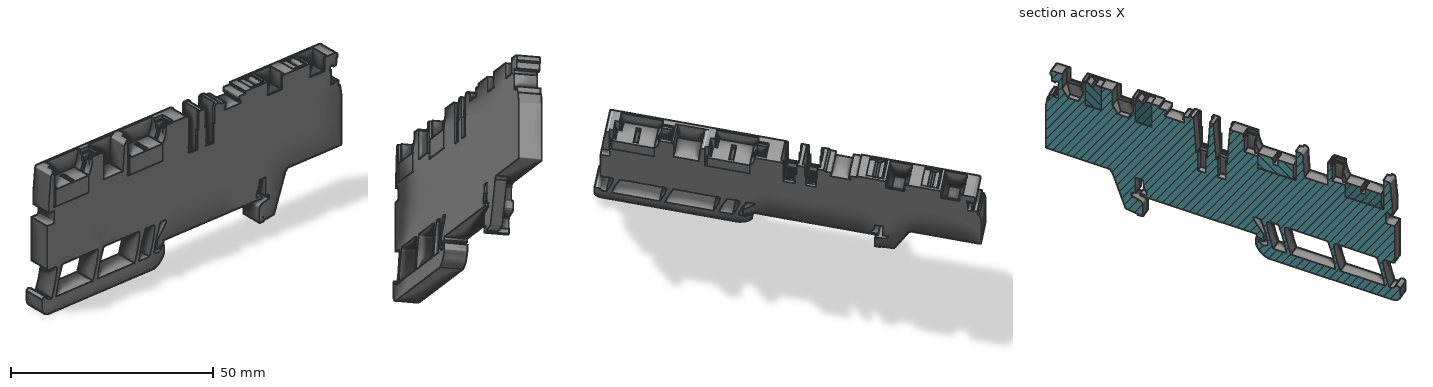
import cadquery as cq
import math


WIDTH = 6.0
LENGTH = 97.4
HEIGHT = 39.4
SIDE = WIDTH / 2
END = LENGTH / 2
TOP = HEIGHT / 2
BOTTOM = -HEIGHT / 2
BELLY = -7.2
FOOT_TOP = -15.7

LEG_CENTRES = [-11.3, -16.2, -29.7, -43.1]
LEG_HALF_TOP = 0.8
LEG_ROOT_RADIUS = 0.7
LEG_WAIST_Z = -11.5
LEG_WAIST = (-0.3, -1.4)
LEG_TOE = (-1.1, -2.5)

SLOT_FLOOR = 9.0
SLOT_STEP = 14.4
SLOT_CENTRES = [5.8, 0.4]
SLOT_MOUTH = 4.4
SLOT_THROAT = 2.9
RECESS_FLOOR = 8.2
SLOT_MIN_X = -2.6
SLOT_MAX_X = 2.3
BRIDGE_HOLE_X = 2.9
BRIDGE_HOLE_Y = 2.0
BRIDGE_HOLE_DEPTH = 5.8

ENTRY_COUNT = 2

BUTTON_PITCH = 13.8
FUNNEL_MOUTH = (-2.6, 2.6, 38.6, 44.1)
FUNNEL_FLOOR = (-2.0, 1.3, 39.7, 42.6)
FUNNEL_STRAIGHT_DEPTH = 4.9
FUNNEL_TAPER_DEPTH = 2.4
FUNNEL_WINDOW_LENGTH = 4.7
FUNNEL_WINDOW_DEPTH = 3.9
BUTTON_MIN_X = -2.1
BUTTON_MAX_X = 2.3
BUTTON_GAP = 0.5
BUTTON_MIN_Y = 33.5
BUTTON_MAX_Y = 37.8
BUTTON_DEPTH = 7.8

PUSHER_PITCH = 24.1
KEY_MIN_X = -1.6
KEY_MAX_X = 2.3
KEY_MAX_Y = -5.6
KEY_DEPTH = 1.0
KEY_WALL = 0.6
KEY_END_WALL = 0.3
CORE_DEPTH = 5.8
FLANGE_Y = -8.4
THROAT_MIN_X = -0.2
THROAT_MAX_X = 0.8
POCKET_MAX_Y = -9.5
POCKET_MIN_X = -2.5
POCKET_DEPTH = 9.7
LEDGE_DEPTH = 1.5
RAMP_DEPTH = 4.9
RAMP_SAG = 0.4
STAIR_X = [-0.2, 2.3]
STAIR_Y = [-18.9, -20.0, -20.8]
PUSHER_TOP = TOP - 4.9
PUSHER_GAP = 0.6
PUSHER_SLIT_X = (-1.6, 2.3)
PUSHER_SLIT_Y = (-14.9, -13.8)
PUSHER_SLIT_DEPTH = 1.9

CHAMBER_MIN_X = -2.2
CHAMBER_MAX_Y = -22.4
CHAMBER_MIN_Y = -28.7
CHAMBER_CHAMFER = 0.5
CHAMBER_DRAFT = 0.4
CHAMBER_LIP_RADIUS = 1.0
CHAMBER_DEPTH = 7.8


def outline(points):
    """Closed outline through the points, each corner rounded by its radius if it has one."""
    starts, arcs = [], []
    count = len(points)
    for i, corner in enumerate(points):
        y, z = corner[:2]
        radius = corner[2] if len(corner) > 2 else 0
        if not radius:
            starts.append((y, z))
            arcs.append(None)
            continue
        before = points[i - 1]
        after = points[(i + 1) % count]
        a = math.atan2(before[1] - z, before[0] - y)
        b = math.atan2(after[1] - z, after[0] - y)
        half = abs(math.remainder(b - a, 2 * math.pi)) / 2
        middle = a + math.remainder(b - a, 2 * math.pi) / 2
        reach = radius / math.tan(half)
        apex = radius / math.sin(half) - radius
        starts.append((y + reach * math.cos(a), z + reach * math.sin(a)))
        arcs.append((
            (y + apex * math.cos(middle), z + apex * math.sin(middle)),
            (y + reach * math.cos(b), z + reach * math.sin(b)),
        ))
    path = cq.Workplane("YZ").moveTo(*starts[0])
    for i in range(count):
        if i:
            path = path.lineTo(*starts[i])
        if arcs[i]:
            path = path.threePointArc(*arcs[i])
    return path.close()


def across(sketch, min_x=-SIDE, max_x=SIDE):
    """Extrude an outline in the Y-Z plane from min_x to max_x."""
    return sketch.extrude(max_x - min_x).translate((min_x, 0, 0))


def block(min_x, max_x, min_y, max_y, min_z, max_z):
    """Rectangular block between the given limits."""
    size = (max_x - min_x, max_y - min_y, max_z - min_z)
    return cq.Workplane("XY").box(*size, centered=False).translate((min_x, min_y, min_z))


def upper_plate():
    """Main plate with end notches, marker groove, bridge slots and the rail seat below."""
    marker_groove = [
        (17.4, TOP), (17.4, 19.1), (15.4, 19.1, 0.4), (15.4, 17.9), (15.9, 17.7), (15.9, 16.9),
        (10.7, 16.9), (10.7, 17.8), (11.0, 17.9), (11.0, 19.1, 0.4), (9.6, 19.1), (9.1, TOP),
    ]
    bridge_slots = [
        (7.4, TOP, 0.7), (7.4, SLOT_STEP), (7.1, SLOT_STEP), (7.1, SLOT_FLOOR),
        (4.6, SLOT_FLOOR), (4.6, SLOT_STEP), (4.3, SLOT_STEP), (4.3, TOP, 0.5),
        (2.2, TOP, 0.5), (2.2, SLOT_STEP), (1.85, SLOT_STEP), (1.85, SLOT_FLOOR),
        (-1.1, SLOT_FLOOR, 0.5), (-1.1, TOP, 0.8),
    ]
    lever_end = [
        (-45.9, TOP, 0.8), (-46.5, 12.2), (-46.5, SLOT_FLOOR), (-44.8, SLOT_FLOOR), (-44.8, 5.5, 0.6),
        (-47.1, 5.5), (-47.1, BELLY, 0.6),
    ]
    rail_hook = [
        (-7.9, BELLY, 0.5), (-11.3, -12.1, 1.5), (-11.3, -14.5), (-10.4, -14.5), (-10.3, -13.9),
        (-9.2, -13.5), (-9.2, -12.8),
    ]
    rail_nub = [
        (22.8, -12.8, 0.3), (22.8, -11.9, 0.3), (21.0, -11.9), (21.0, -11.1), (21.8, -9.3),
        (22.0, BELLY, 0.4),
    ]
    button_end = [
        (END, BELLY, 0.4), (END, 7.2), (48.3, 9.8), (47.8, 9.8), (47.7, 11.5), (46.8, 11.5),
        (46.45, 11.8), (46.2, 11.2), (45.3, 11.2), (45.3, 15.4), (45.1, 15.4), (45.1, 16.5),
        (45.9, 16.5), (46.2, 16.0), (47.0, 16.3), (47.1, 17.9), (47.4, 18.3), (47.4, TOP, 0.9),
    ]
    return across(outline(marker_groove + bridge_slots + lever_end + rail_hook + rail_nub + button_end))


def foot_bar():
    """Bar below the legs, with a hook for the rail at one end and a lip at the other."""
    sketch = (
        cq.Workplane("YZ")
        .moveTo(-9.0, -14.3)
        .lineTo(-9.8, -14.3)
        .threePointArc((-11.1, -15.6), (-12.5, -14.5))
        .lineTo(-13.05, -14.5)
        .lineTo(-13.05, FOOT_TOP)
        .lineTo(-46.3, FOOT_TOP)
        .threePointArc((-46.8, -15.4), (-47.2, -14.8))
        .threePointArc((-48.0, -14.4), (-END, -15.0))
        .lineTo(-END, -17.7)
        .threePointArc((-48.1, -19.1), (-46.7, BOTTOM))
        .lineTo(-12.5, BOTTOM)
        .threePointArc((-10.0, -18.1), (-9.0, -16.0))
        .close()
    )
    return across(sketch)


def leg(centre):
    """Slanted, slightly waisted leg from the plate down to the foot bar, with a rounded root."""
    root_z = BELLY - LEG_ROOT_RADIUS
    root_outer = LEG_HALF_TOP + LEG_ROOT_RADIUS
    root_blend = LEG_ROOT_RADIUS * (1 - math.sqrt(0.5))
    sketch = (
        cq.Workplane("YZ")
        .moveTo(centre + root_outer, BELLY)
        .threePointArc(
            (centre + LEG_HALF_TOP + root_blend, BELLY - root_blend), (centre + LEG_HALF_TOP, root_z)
        )
        .threePointArc((centre + LEG_WAIST[0], LEG_WAIST_Z), (centre + LEG_TOE[0], FOOT_TOP))
        .lineTo(centre + LEG_TOE[1], FOOT_TOP)
        .threePointArc((centre + LEG_WAIST[1], LEG_WAIST_Z), (centre - LEG_HALF_TOP, root_z))
        .threePointArc(
            (centre - LEG_HALF_TOP - root_blend, BELLY - root_blend), (centre - root_outer, BELLY)
        )
        .close()
    )
    return across(sketch)


def latch():
    """Springy S-shaped latch that snaps under the rail."""
    return across(outline([
        (26.9, BELLY), (25.1, BELLY, 1.4), (25.1, -11.6, 0.6), (26.6, -12.1, 0.4), (26.6, -14.4, 1.0),
        (23.2, -15.4, 0.8), (23.2, -18.3), (23.4, -18.3), (23.4, -19.6), (21.9, -19.6, 0.3),
        (21.9, -14.5, 1.5), (25.1, -13.6), (25.1, -12.5, 0.4), (24.0, -12.5), (24.0, BELLY),
    ]))


def latch_rib():
    """Wedge that stiffens the latch from behind, in the +X half of the width only."""
    sketch = outline([
        (31.2, BELLY), (30.5, -8.0), (26.8, -18.8, 0.6), (23.4, -19.3), (22.8, -16.0), (24.0, -14.6),
        (25.8, -14.0), (25.8, -12.5), (24.5, -11.5), (24.5, BELLY),
    ])
    return across(sketch, 0, SIDE)


def bridge_recess(centre):
    """Flared recess in the walls beside a bridge slot, with a rectangular hole in its floor."""
    flare = across(
        outline([
            (centre - SLOT_MOUTH / 2, TOP), (centre - SLOT_THROAT / 2, RECESS_FLOOR),
            (centre + SLOT_THROAT / 2, RECESS_FLOOR), (centre + SLOT_MOUTH / 2, TOP),
        ]),
        SLOT_MIN_X, SLOT_MAX_X,
    )
    hole = block(
        -BRIDGE_HOLE_X / 2, BRIDGE_HOLE_X / 2, centre - BRIDGE_HOLE_Y / 2, centre + BRIDGE_HOLE_Y / 2,
        RECESS_FLOOR - BRIDGE_HOLE_DEPTH, RECESS_FLOOR,
    )
    return flare.union(hole)


def funnel():
    """Conductor entry, straight above and tapered below, open through a window in the +X wall."""
    def rectangle(limits, z):
        min_x, max_x, min_y, max_y = limits
        centre = ((min_x + max_x) / 2, (min_y + max_y) / 2, z)
        return cq.Workplane("XY", origin=centre).rect(max_x - min_x, max_y - min_y).wires().val()

    taper_top = TOP - FUNNEL_STRAIGHT_DEPTH
    mouth = rectangle(FUNNEL_MOUTH, taper_top)
    floor = rectangle(FUNNEL_FLOOR, taper_top - FUNNEL_TAPER_DEPTH)
    taper = cq.Workplane(cq.Solid.makeLoft([mouth, floor], True))
    straight = block(*FUNNEL_MOUTH, taper_top, TOP)
    mouth_max_x, mouth_min_y = FUNNEL_MOUTH[1:3]
    window = block(
        mouth_max_x, SIDE, mouth_min_y, mouth_min_y + FUNNEL_WINDOW_LENGTH, TOP - FUNNEL_WINDOW_DEPTH, TOP
    )
    return straight.union(taper).union(window)


def button_recess():
    """Straight recess that holds a push button."""
    return block(
        BUTTON_MIN_X - BUTTON_GAP, BUTTON_MAX_X, BUTTON_MIN_Y, BUTTON_MAX_Y, TOP - BUTTON_DEPTH, TOP
    )


def key_slot():
    """Stepped slot with a narrow throat through the flanges towards the pusher pocket."""
    rim = block(KEY_MIN_X, KEY_MAX_X, FLANGE_Y, KEY_MAX_Y, TOP - KEY_DEPTH, TOP)
    core = block(
        KEY_MIN_X + KEY_WALL, KEY_MAX_X - KEY_WALL, FLANGE_Y, KEY_MAX_Y - KEY_END_WALL,
        TOP - CORE_DEPTH, TOP,
    )
    throat = block(THROAT_MIN_X, THROAT_MAX_X, POCKET_MAX_Y, FLANGE_Y, TOP - CORE_DEPTH, TOP)
    return rim.union(core).union(throat)


def stair_prism(min_z, max_z, gap):
    """Prism over the pocket floor, with the stepped -Y end drawn back by the gap."""
    left, middle, right = (y + gap for y in STAIR_Y)
    return (
        cq.Workplane("XY", origin=(0, 0, min_z))
        .polyline([
            (POCKET_MIN_X, POCKET_MAX_Y), (POCKET_MIN_X, left), (STAIR_X[0], left), (STAIR_X[0], middle),
            (STAIR_X[1], middle), (STAIR_X[1], right), (SIDE, right), (SIDE, POCKET_MAX_Y),
        ])
        .close()
        .extrude(max_z - min_z)
    )


def pusher_pocket():
    """Pocket open to the +X side, with a concave ramp down from the flanges."""
    ramp_top = TOP - LEDGE_DEPTH
    ramp_bottom = TOP - RAMP_DEPTH
    ramp = (
        cq.Workplane("YZ")
        .moveTo(POCKET_MAX_Y, TOP)
        .lineTo(FLANGE_Y, TOP)
        .lineTo(FLANGE_Y, ramp_top)
        .threePointArc((FLANGE_Y - RAMP_SAG, (ramp_top + ramp_bottom) / 2), (POCKET_MAX_Y, ramp_bottom))
        .close()
    )
    return stair_prism(TOP - POCKET_DEPTH, TOP, 0).union(across(ramp, POCKET_MIN_X, SIDE))


def chamber():
    """Deep chamber open to the +X side, with one rounded and one chamfered mouth edge."""
    floor = TOP - CHAMBER_DEPTH
    lip = CHAMBER_LIP_RADIUS
    lip_y = CHAMBER_MAX_Y + CHAMBER_DRAFT
    lip_middle = lip * (1 - math.sqrt(0.5))
    sketch = (
        cq.Workplane("YZ")
        .moveTo(CHAMBER_MAX_Y, floor)
        .lineTo(lip_y, TOP - lip)
        .threePointArc((lip_y + lip_middle, TOP - lip_middle), (lip_y + lip, TOP))
        .lineTo(CHAMBER_MIN_Y - CHAMBER_CHAMFER, TOP)
        .lineTo(CHAMBER_MIN_Y, TOP - CHAMBER_CHAMFER)
        .lineTo(CHAMBER_MIN_Y, floor)
        .close()
    )
    return across(sketch, CHAMBER_MIN_X, SIDE)


def make_housing():
    """Complete housing with every recess cut."""
    housing = upper_plate().union(foot_bar()).union(latch()).union(latch_rib())
    for centre in LEG_CENTRES:
        housing = housing.union(leg(centre))
    for centre in SLOT_CENTRES:
        housing = housing.cut(bridge_recess(centre))
    for index in range(ENTRY_COUNT):
        button_shift = (0, -index * BUTTON_PITCH, 0)
        pusher_shift = (0, -index * PUSHER_PITCH, 0)
        for recess in (funnel(), button_recess()):
            housing = housing.cut(recess.translate(button_shift))
        for recess in (key_slot(), pusher_pocket()):
            housing = housing.cut(recess.translate(pusher_shift))
    return housing.cut(chamber())


def make_button():
    """Push button with a rounded ridge and a notch for a screwdriver across its top."""
    floor = TOP - BUTTON_DEPTH
    sketch = (
        cq.Workplane("YZ")
        .moveTo(BUTTON_MIN_Y, floor)
        .lineTo(BUTTON_MIN_Y, TOP)
        .lineTo(35.1, TOP)
        .lineTo(35.6, TOP - 1.0)
        .lineTo(36.2, TOP - 1.0)
        .threePointArc((36.8, TOP - 0.2), (37.4, TOP))
        .lineTo(BUTTON_MAX_Y, TOP - 0.6)
        .lineTo(BUTTON_MAX_Y, floor)
        .close()
    )
    return across(sketch, BUTTON_MIN_X, BUTTON_MAX_X)


def make_pusher():
    """Lever pusher that fills the lower part of its pocket, with a slit in its top."""
    slit = block(*PUSHER_SLIT_X, *PUSHER_SLIT_Y, PUSHER_TOP - PUSHER_SLIT_DEPTH, PUSHER_TOP)
    return stair_prism(TOP - POCKET_DEPTH, PUSHER_TOP, PUSHER_GAP).cut(slit)


housing = make_housing()
buttons = [make_button().translate((0, -index * BUTTON_PITCH, 0)) for index in range(ENTRY_COUNT)]
pushers = [make_pusher().translate((0, -index * PUSHER_PITCH, 0)) for index in range(ENTRY_COUNT)]

result = cq.Compound.makeCompound(
    [housing.val()] + [button.val() for button in buttons] + [pusher.val() for pusher in pushers]
)